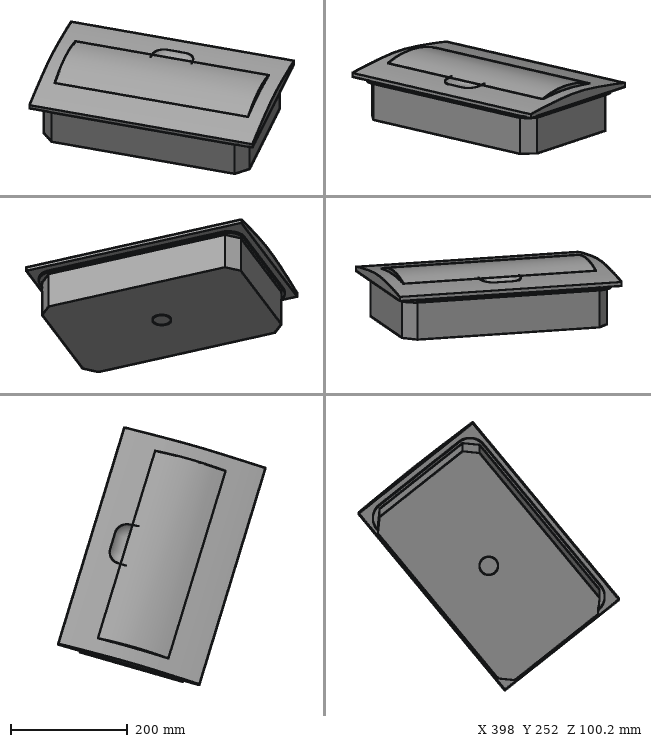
import cadquery as cq
import math

housing_length = 367.8
housing_width = 224.0
housing_height = 73.2
housing_chamfer = 20.5

flange_length = 378.0
flange_width = 235.0
flange_thickness = 3.5
flange_drop = 3.5
flange_corner_radius = 29.0

cover_length = 398.0
cover_width = 252.0
cover_edge_height = 7.0
crown_half_width = 49.5
shoulder_half_width = 88.0
slope_angle = math.radians(6.2)
rim_angle = math.radians(9.5)

door_length = 345.0
door_width = 125.8
door_edge_thickness = 0.5
door_top_height = 26.0

recess_floor_length = 29.5
recess_floor_width = 16.0
recess_floor_end = 68.5
recess_floor_height = 3.0
recess_radius = 24.5

disc_diameter = 32.0
disc_thickness = 1.0


def arc_drop(start_angle, end_angle, run):
    """Height lost along an arc whose downward slope grows between two angles."""
    return run * math.tan((start_angle + end_angle) / 2)


cover_half_width = cover_width / 2
rim_run = cover_half_width - shoulder_half_width
slope_run = shoulder_half_width - crown_half_width
shoulder_height = cover_edge_height + arc_drop(slope_angle, rim_angle, rim_run)
crown_edge_height = shoulder_height + slope_run * math.tan(slope_angle)
crown_height = crown_edge_height + arc_drop(0, slope_angle, crown_half_width)
rim_radius = rim_run / (math.sin(rim_angle) - math.sin(slope_angle))


def extrude_along_x(profile, length):
    return profile.extrude(length / 2, both=True)


def make_cover_blank():
    profile = (
        cq.Workplane("YZ", origin=(0, 0, housing_height))
        .moveTo(-cover_half_width, 0)
        .lineTo(-cover_half_width, cover_edge_height)
        .radiusArc((-shoulder_half_width, shoulder_height), rim_radius)
        .lineTo(-crown_half_width, crown_edge_height)
        .threePointArc((0, crown_height), (crown_half_width, crown_edge_height))
        .lineTo(shoulder_half_width, shoulder_height)
        .radiusArc((cover_half_width, cover_edge_height), rim_radius)
        .lineTo(cover_half_width, 0)
        .close()
    )
    return extrude_along_x(profile, cover_length)


def make_recess_tool():
    """Block whose floor curves up all round with one radius, like a ball-nosed cutter's path."""
    center_y = recess_floor_end - recess_floor_width / 2
    bottom = housing_height + recess_floor_height
    return (
        cq.Workplane("XY", origin=(0, center_y, bottom))
        .rect(recess_floor_length + 2 * recess_radius, recess_floor_width + 2 * recess_radius)
        .extrude(2 * recess_radius)
        .edges("|Z")
        .fillet(recess_radius)
        .faces("<Z")
        .edges()
        .fillet(recess_radius)
    )


def make_door():
    half_width = door_width / 2
    slope_drop = (half_width - crown_half_width) * math.tan(slope_angle)
    edge_top = crown_edge_height - slope_drop + door_edge_thickness
    profile = (
        cq.Workplane("YZ", origin=(0, 0, housing_height))
        .moveTo(-half_width, 0)
        .lineTo(-half_width, edge_top)
        .threePointArc((0, door_top_height), (half_width, edge_top))
        .lineTo(half_width, 0)
        .close()
    )
    return extrude_along_x(profile, door_length).cut(make_cover_blank())


def make_housing():
    return (
        cq.Workplane("XY")
        .rect(housing_length, housing_width)
        .extrude(housing_height)
        .edges("|Z")
        .chamfer(housing_chamfer)
    )


def make_flange():
    bottom = housing_height - flange_drop - flange_thickness
    return (
        cq.Workplane("XY", origin=(0, 0, bottom))
        .rect(flange_length, flange_width)
        .extrude(flange_thickness)
        .edges("|Z")
        .fillet(flange_corner_radius)
        .cut(make_housing())
    )


def make_disc():
    return cq.Workplane("XY").circle(disc_diameter / 2).extrude(-disc_thickness)


housing = make_housing()
flange = make_flange()
cover = make_cover_blank().cut(make_recess_tool())
door = make_door()
disc = make_disc()

result = cq.Compound.makeCompound([housing.val(), flange.val(), cover.val(), door.val(), disc.val()])